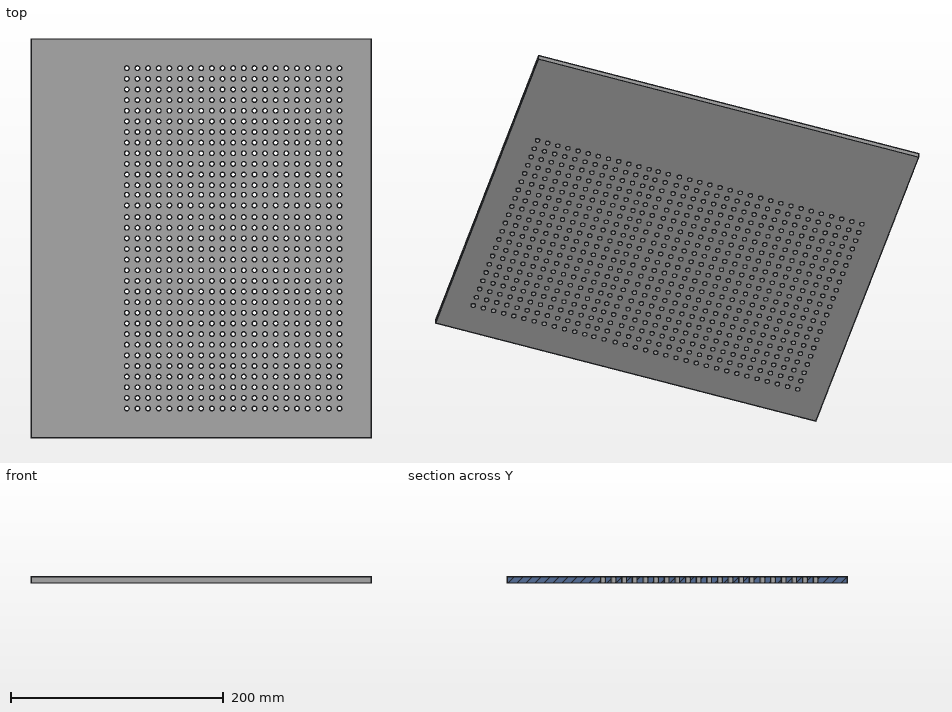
import cadquery as cq

plate_length_x = 320.0
plate_length_y = 375.0
plate_thickness = 6.0

hole_diameter = 4.2
hole_pitch = 10.0
columns = 21
rows = 33
grid_centre_x = 30.0

shifted_rows = (19, 20)
row_shift = 1.0


def row_y(row):
    """Y position of a hole row; the regular grid is centred on Y = 0."""
    regular_y = (row - (rows - 1) / 2) * hole_pitch
    if row in shifted_rows:
        return regular_y + row_shift
    return regular_y


def hole_centres():
    """Centres of all holes, row by row."""
    first_x = grid_centre_x - (columns - 1) / 2 * hole_pitch
    return [
        (first_x + column * hole_pitch, row_y(row))
        for row in range(rows)
        for column in range(columns)
    ]


def make_plate():
    """Plain rectangular plate, centred in X and Y, resting on Z = 0."""
    return cq.Workplane("XY").box(
        plate_length_x, plate_length_y, plate_thickness, centered=(True, True, False)
    )


def make_hole_cutters():
    """One cylinder through the full thickness at each hole centre."""
    return (
        cq.Workplane("XY")
        .pushPoints(hole_centres())
        .circle(hole_diameter / 2)
        .extrude(plate_thickness)
    )


result = make_plate().cut(make_hole_cutters())